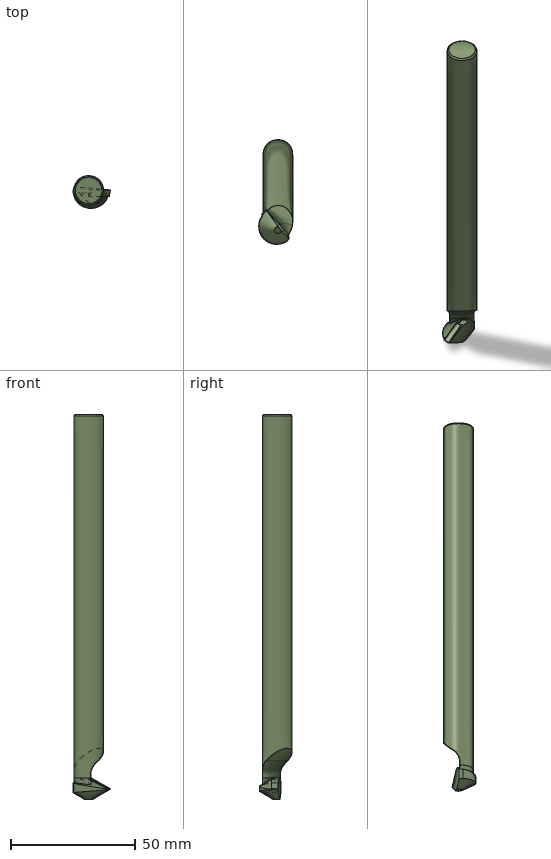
import cadquery as cq

LENGTH = 155.0
SHANK_RADIUS = 12.0 / 2
TOP_CHAMFER = 0.6
JOINT_Z = 8.7
GULLET_ANGLE = 43.0
GULLET_BOTTOM = -1.5
GULLET_FLAT = -3.4
GULLET_FLAT_TOP = 10.9
GULLET_BEND = (-2.5, 13.5)
GULLET_BLEND_END = (0.0, 15.8)
GULLET_EXIT = (7.0, 21.5)

TOTAL_WIDTH = 15.0
TOTAL_DEPTH = 13.2
TIP_Z = 4.3
NOSE_RADIUS = 2.8 / 2
RIM_RADIUS = TOTAL_DEPTH - SHANK_RADIUS
RIM_CENTER_X = 1.0
RIM_LEFT_X = RIM_CENTER_X - RIM_RADIUS
TIP_X = TOTAL_WIDTH + RIM_LEFT_X
UPPER_CONE_X = -1.2
LAND_STEP = 0.5
UPPER_CONE_SLOPE = 0.57
LAND_BACK_Y = -2.3
LAND_TAPER = 0.5
NECK_BOTTOM_Z = 5.5
FACE_LEFT = (-5.9, 1.47)
FACE_TIP = (TIP_X, 0.23)
MARGIN = 15.5


def gullet():
    """Flat, curved run-out and slope, swept across the bar."""
    profile = (
        cq.Workplane("XZ")
        .moveTo(GULLET_FLAT, GULLET_BOTTOM)
        .lineTo(GULLET_FLAT, GULLET_FLAT_TOP)
        .threePointArc(GULLET_BEND, GULLET_BLEND_END)
        .lineTo(*GULLET_EXIT)
        .lineTo(MARGIN, GULLET_EXIT[1])
        .lineTo(MARGIN, GULLET_BOTTOM)
        .close()
        .extrude(MARGIN, both=True)
    )
    return profile.rotate((0, 0, 0), (0, 0, 1), GULLET_ANGLE)


def make_shank():
    bar = cq.Workplane("XY").workplane(offset=JOINT_Z).circle(SHANK_RADIUS).extrude(LENGTH - JOINT_Z)
    return bar.faces(">Z").chamfer(TOP_CHAMFER).cut(gullet())


def double_cone(drop):
    """Lower cone on the bar axis, capped by the offset upper cone lowered by `drop`."""
    lower = (
        cq.Workplane("XZ")
        .polyline([(0, 0), (NOSE_RADIUS, 0), (TIP_X, TIP_Z), (TIP_X, JOINT_Z), (0, JOINT_Z)])
        .close()
        .revolve(360, (0, 0, 0), (0, 1, 0))
    )
    reach = TIP_X - UPPER_CONE_X
    apex_z = TIP_Z - drop + reach * UPPER_CONE_SLOPE
    base_radius = apex_z / UPPER_CONE_SLOPE
    upper = (
        cq.Workplane("XZ")
        .polyline([(0, 0), (base_radius, 0), (0, apex_z)])
        .close()
        .revolve(360, (0, 0, 0), (0, 1, 0))
        .translate((UPPER_CONE_X, 0, 0))
    )
    return lower.intersect(upper)


def rim():
    """Eccentric rim with a small flat leading from its -X point to the rake face."""
    disc = cq.Workplane("XY").center(RIM_CENTER_X, 0).circle(RIM_RADIUS).extrude(JOINT_Z)
    left_flat = (
        cq.Workplane("XY")
        .polyline([(RIM_LEFT_X, 0), FACE_LEFT, (FACE_LEFT[0], MARGIN), (-MARGIN, MARGIN), (-MARGIN, 0)])
        .close()
        .extrude(JOINT_Z)
    )
    return disc.cut(left_flat).intersect(double_cone(LAND_STEP))


def land():
    """Narrow full-height strip that carries the cutting tip."""
    strip = (
        cq.Workplane("XY")
        .polyline([(0, FACE_TIP[1]), FACE_TIP, (TIP_X - LAND_TAPER, LAND_BACK_Y), (0, LAND_BACK_Y)])
        .close()
        .extrude(JOINT_Z)
    )
    return strip.intersect(double_cone(0))


def behind_rake_face():
    """Everything on the -Y side of the flat rake face."""
    slope = (FACE_TIP[1] - FACE_LEFT[1]) / (FACE_TIP[0] - FACE_LEFT[0])
    left_y = FACE_TIP[1] - slope * (FACE_TIP[0] + MARGIN)
    right_y = FACE_TIP[1] + slope * (MARGIN - FACE_TIP[0])
    return (
        cq.Workplane("XY")
        .polyline([(-MARGIN, -MARGIN), (MARGIN, -MARGIN), (MARGIN, right_y), (-MARGIN, left_y)])
        .close()
        .extrude(JOINT_Z)
    )


def make_head():
    neck = (
        cq.Workplane("XY")
        .workplane(offset=NECK_BOTTOM_Z)
        .circle(SHANK_RADIUS)
        .extrude(JOINT_Z - NECK_BOTTOM_Z)
        .cut(gullet())
    )
    return rim().union(land()).union(neck).intersect(behind_rake_face())


shank = make_shank()
head = make_head()
result = cq.Compound.makeCompound([shank.val(), head.val()])